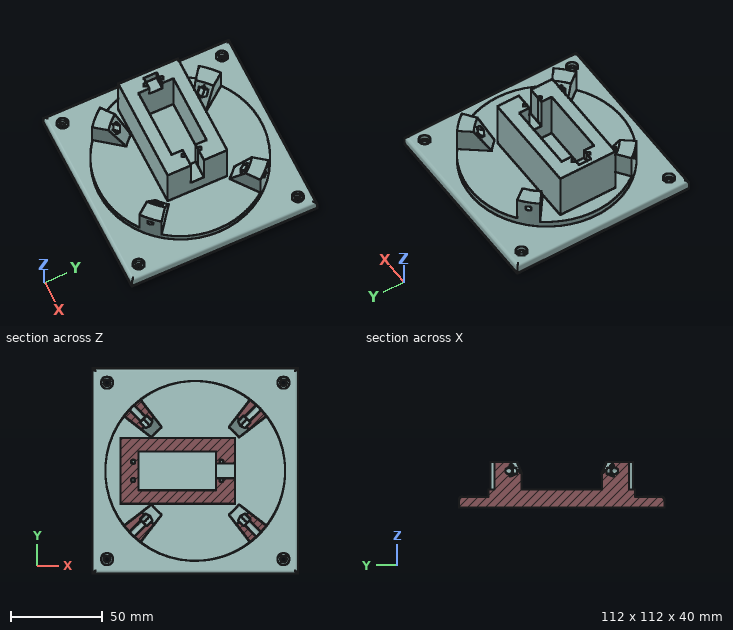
import cadquery as cq
import math

PLATE_SIDE = 112.0
PLATE_THICKNESS = 6.0
PLATE_EDGE_ROUND = 2.0

DISC_DIAMETER = 98.0
DISC_TOP = 10.0

SCREW_OFFSET = 48.0
SCREW_HOLE_DIAMETER = 3.4
SCREW_HEAD_DIAMETER = 6.5
SCREW_HEAD_DEPTH = 3.0

HOUSING_LENGTH = 62.5
HOUSING_WIDTH = 36.0
HOUSING_TOP = 40.0
HOUSING_LEFT = -40.8
HOUSING_RIGHT = HOUSING_LEFT + HOUSING_LENGTH

POCKET_LENGTH = 42.0
POCKET_WIDTH = 21.0
POCKET_LEFT = -30.8
POCKET_RIGHT = POCKET_LEFT + POCKET_LENGTH
POCKET_FLOOR = DISC_TOP

SLOT_WIDTH = 7.8
LEFT_SLOT_END = -38.0
LEFT_SLOT_DEPTH = 6.0
RIGHT_SLOT_DEPTH = 20.0

PILOT_DIAMETER = 2.0
PILOT_DEPTH = 20.0
PILOT_SPACING_X = 48.0
PILOT_SPACING_Y = 10.0

BRACKET_TOP = 25.0
BRACKET_FOOT_RADIUS = 30.0
BRACKET_TOP_RADIUS = 40.0
BRACKET_ANGLE = 15.0
BRACKET_COUNT = 4
BRACKET_SPACING = 360 / BRACKET_COUNT
BRACKET_HOLE_DIAMETER = 3.4
BRACKET_HOLE_HEIGHT = 20.0
NUT_POCKET_DIAMETER = 6.0
NUT_POCKET_END_RADIUS = BRACKET_TOP_RADIUS


def make_plate():
    plate = cq.Workplane("XY").box(PLATE_SIDE, PLATE_SIDE, PLATE_THICKNESS, centered=(True, True, False))
    return plate.faces(">Z").edges().fillet(PLATE_EDGE_ROUND)


def block(left, right, width, bottom, top):
    """Box between two X positions and two heights, centred on Y."""
    return (
        cq.Workplane("XY")
        .box(right - left, width, top - bottom, centered=(False, True, False))
        .translate((left, 0, bottom))
    )


def bracket_gap():
    """Sector prism that removes the raised rim between two neighbouring brackets."""
    half_angle = math.radians((BRACKET_SPACING - BRACKET_ANGLE) / 2)
    reach = PLATE_SIDE
    return (
        cq.Workplane("XY", origin=(0, 0, DISC_TOP))
        .lineTo(reach * math.cos(half_angle), -reach * math.sin(half_angle))
        .lineTo(reach * math.cos(half_angle), reach * math.sin(half_angle))
        .close()
        .extrude(BRACKET_TOP - DISC_TOP)
    )


def bracket_drilling():
    """Screw hole through a bracket along its radius, with a hexagonal nut pocket on the inner side."""
    axis = cq.Workplane("YZ", origin=(0, 0, BRACKET_HOLE_HEIGHT))
    hole = axis.circle(BRACKET_HOLE_DIAMETER / 2).extrude(DISC_DIAMETER)
    nut_pocket = (
        axis.transformed(rotate=(0, 0, 90))
        .polygon(6, NUT_POCKET_DIAMETER)
        .extrude(NUT_POCKET_END_RADIUS)
    )
    return hole.union(nut_pocket)


def make_disc_with_brackets():
    """Disc with a raised rim, cut down to wedge brackets with radial sides and sloped inner faces."""
    rim = DISC_DIAMETER / 2
    body = (
        cq.Workplane("XZ")
        .lineTo(rim, 0)
        .lineTo(rim, BRACKET_TOP)
        .lineTo(BRACKET_TOP_RADIUS, BRACKET_TOP)
        .lineTo(BRACKET_FOOT_RADIUS, DISC_TOP)
        .lineTo(0, DISC_TOP)
        .close()
        .revolve(360, (0, 0, 0), (0, 1, 0))
    )
    for index in range(BRACKET_COUNT):
        gap_direction = index * BRACKET_SPACING
        bracket_direction = gap_direction + BRACKET_SPACING / 2
        body = body.cut(bracket_gap().rotate((0, 0, 0), (0, 0, 1), gap_direction))
        body = body.cut(bracket_drilling().rotate((0, 0, 0), (0, 0, 1), bracket_direction))
    return body


def make_housing():
    housing = block(HOUSING_LEFT, HOUSING_RIGHT, HOUSING_WIDTH, DISC_TOP, HOUSING_TOP)
    pocket = block(POCKET_LEFT, POCKET_RIGHT, POCKET_WIDTH, POCKET_FLOOR, HOUSING_TOP)
    left_slot = block(LEFT_SLOT_END, POCKET_LEFT, SLOT_WIDTH, HOUSING_TOP - LEFT_SLOT_DEPTH, HOUSING_TOP)
    right_slot = block(POCKET_RIGHT, HOUSING_RIGHT, SLOT_WIDTH, HOUSING_TOP - RIGHT_SLOT_DEPTH, HOUSING_TOP)
    pilots = (
        cq.Workplane("XY", origin=((POCKET_LEFT + POCKET_RIGHT) / 2, 0, HOUSING_TOP))
        .rect(PILOT_SPACING_X, PILOT_SPACING_Y, forConstruction=True)
        .vertices()
        .circle(PILOT_DIAMETER / 2)
        .extrude(-PILOT_DEPTH)
    )
    return housing.cut(pocket).cut(left_slot).cut(right_slot).cut(pilots)


def drill_corners(part):
    """Counterbored screw holes from the plate top, one in each corner."""
    return (
        part.copyWorkplane(cq.Workplane("XY", origin=(0, 0, PLATE_THICKNESS)))
        .rect(2 * SCREW_OFFSET, 2 * SCREW_OFFSET, forConstruction=True)
        .vertices()
        .cboreHole(SCREW_HOLE_DIAMETER, SCREW_HEAD_DIAMETER, SCREW_HEAD_DEPTH)
    )


plate = drill_corners(make_plate())
result = plate.union(make_disc_with_brackets()).union(make_housing())